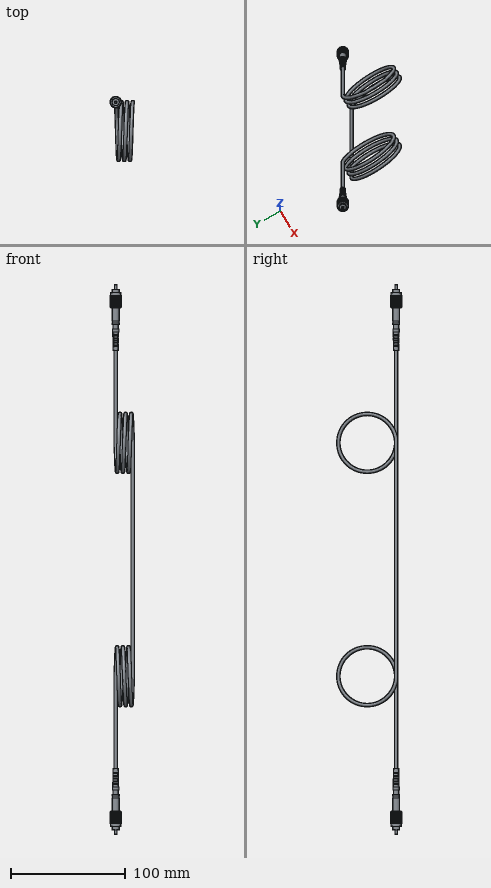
import cadquery as cq
import math


CORD_LENGTH = 479.5
HALF_LENGTH = CORD_LENGTH / 2

CABLE_DIAMETER = 3.1
COIL_DIAMETER = 50.5
COIL_RADIUS = COIL_DIAMETER / 2
COIL_TURNS = 3
COIL_SHIFT = 15.0
COIL_HEIGHT = 101.5
POINTS_PER_TURN = 16

BODY_FRONT = 4.5
NUT_FRONT = 7.0
KNURL_FRONT = 9.5
NUT_BACK = 20.5
BODY_GROOVE_FRONT = 32.0
BODY_BACK = 35.0
BOOT_COLLAR_FRONT = 39.0
BOOT_COLLAR_BACK = 41.5
FIRST_RIB_GROOVE = 43.5
BOOT_BACK = 57.5

FERRULE_DIAMETER = 2.5
FERRULE_BACK = NUT_BACK
FERRULE_CHAMFER = 0.5

BODY_DIAMETER = 6.0
BODY_GROOVE_WIDTH = 1.5
BODY_GROOVE_FLOOR_DIAMETER = 5.8
CABLE_SOCKET_DEPTH = 5.0

NUT_DIAMETER = 10.0
COLLAR_DIAMETER = 9.0
NUT_CHAMFER = 1.0
KNURL_COUNT = 32
KNURL_DEPTH = (NUT_DIAMETER - COLLAR_DIAMETER) / 2

BOOT_NECK_DIAMETER = 5.0
BOOT_COLLAR_DIAMETER = 5.8
BOOT_FRONT_DIAMETER = 5.5
BOOT_BACK_DIAMETER = 5.0
RIB_GROOVE_COUNT = 5
RIB_GROOVE_PITCH = 2.5
RIB_GROOVE_WIDTH = 1.0
RIB_GROOVE_FLOOR_DIAMETER = 4.5

CABLE_END = BODY_BACK - CABLE_SOCKET_DEPTH


def cylinder(diameter, start, end):
    """Cylinder on the Z axis between two levels."""
    return cq.Workplane("XY").workplane(offset=start).circle(diameter / 2).extrude(end - start)


def ring(outer_diameter, inner_diameter, start, end):
    """Tube on the Z axis between two levels."""
    return cylinder(outer_diameter, start, end).cut(cylinder(inner_diameter, start, end))




def make_ferrule():
    return cylinder(FERRULE_DIAMETER, 0, FERRULE_BACK).faces("<Z").chamfer(FERRULE_CHAMFER)


def make_body():
    body = cylinder(BODY_DIAMETER, BODY_FRONT, BODY_BACK)
    body = body.cut(
        ring(2 * BODY_DIAMETER, BODY_GROOVE_FLOOR_DIAMETER,
             BODY_GROOVE_FRONT, BODY_GROOVE_FRONT + BODY_GROOVE_WIDTH)
    )
    body = body.cut(cylinder(FERRULE_DIAMETER, BODY_FRONT, FERRULE_BACK))
    return body.cut(cylinder(CABLE_DIAMETER, CABLE_END, BODY_BACK))


def make_nut():
    nut = cylinder(NUT_DIAMETER, KNURL_FRONT, NUT_BACK).faces(">Z").chamfer(NUT_CHAMFER)
    radius = NUT_DIAMETER / 2
    cutter_half_width = math.pi * radius / KNURL_COUNT
    v_groove = (
        cq.Workplane("XY")
        .workplane(offset=KNURL_FRONT)
        .polyline([(radius - KNURL_DEPTH, 0), (radius + KNURL_DEPTH, cutter_half_width),
                   (radius + KNURL_DEPTH, -cutter_half_width)])
        .close()
        .extrude(NUT_BACK - KNURL_FRONT)
    )
    for index in range(KNURL_COUNT):
        turn = (index + 0.5) * 360 / KNURL_COUNT
        nut = nut.cut(v_groove.rotate((0, 0, 0), (0, 0, 1), turn))
    nut = nut.union(cylinder(COLLAR_DIAMETER, NUT_FRONT, KNURL_FRONT))
    return nut.cut(cylinder(BODY_DIAMETER, NUT_FRONT, NUT_BACK))


def make_boot():
    boot = cylinder(BOOT_NECK_DIAMETER, BODY_BACK, BOOT_COLLAR_FRONT)
    boot = boot.union(cylinder(BOOT_COLLAR_DIAMETER, BOOT_COLLAR_FRONT, BOOT_COLLAR_BACK))
    taper = (
        cq.Workplane("XY")
        .workplane(offset=BOOT_COLLAR_BACK)
        .circle(BOOT_FRONT_DIAMETER / 2)
        .workplane(offset=BOOT_BACK - BOOT_COLLAR_BACK)
        .circle(BOOT_BACK_DIAMETER / 2)
        .loft()
    )
    boot = boot.union(taper)
    for index in range(RIB_GROOVE_COUNT):
        start = FIRST_RIB_GROOVE + index * RIB_GROOVE_PITCH
        boot = boot.cut(
            ring(2 * BOOT_FRONT_DIAMETER, RIB_GROOVE_FLOOR_DIAMETER, start, start + RIB_GROOVE_WIDTH)
        )
    return boot.cut(cylinder(CABLE_DIAMETER, BODY_BACK, BOOT_BACK))


def coil_edge(center_z, start_x, end_x):
    """Helix about an X-parallel axis that starts and ends running straight down at Y = 0."""
    points = []
    angles = []
    steps = COIL_TURNS * POINTS_PER_TURN
    for step in range(steps + 1):
        angle = 2 * math.pi * step / POINTS_PER_TURN
        x = start_x + (end_x - start_x) * step / steps
        y = COIL_RADIUS * (math.cos(angle) - 1)
        z = center_z - COIL_RADIUS * math.sin(angle)
        angles.append(angle)
        points.append(cq.Vector(x, y, z))
    down = cq.Vector(0, 0, -COIL_RADIUS)
    return cq.Edge.makeSpline(points, tangents=[down, down], parameters=angles, scale=False)


def make_cable():
    top = cq.Vector(0, 0, HALF_LENGTH - CABLE_END)
    path = cq.Wire.assembleEdges([
        cq.Edge.makeLine(top, cq.Vector(0, 0, COIL_HEIGHT)),
        coil_edge(COIL_HEIGHT, 0, COIL_SHIFT),
        cq.Edge.makeLine(cq.Vector(COIL_SHIFT, 0, COIL_HEIGHT), cq.Vector(COIL_SHIFT, 0, -COIL_HEIGHT)),
        coil_edge(-COIL_HEIGHT, COIL_SHIFT, 0),
        cq.Edge.makeLine(cq.Vector(0, 0, -COIL_HEIGHT), -top),
    ])
    return cq.Workplane("XY", origin=top.toTuple()).circle(CABLE_DIAMETER / 2).sweep(path)


bodies = [make_cable().val()]
for make_part in (make_ferrule, make_body, make_nut, make_boot):
    lower_part = make_part().translate((0, 0, -HALF_LENGTH))
    upper_part = lower_part.mirror("XY")
    bodies += [lower_part.val(), upper_part.val()]

result = cq.Compound.makeCompound(bodies)